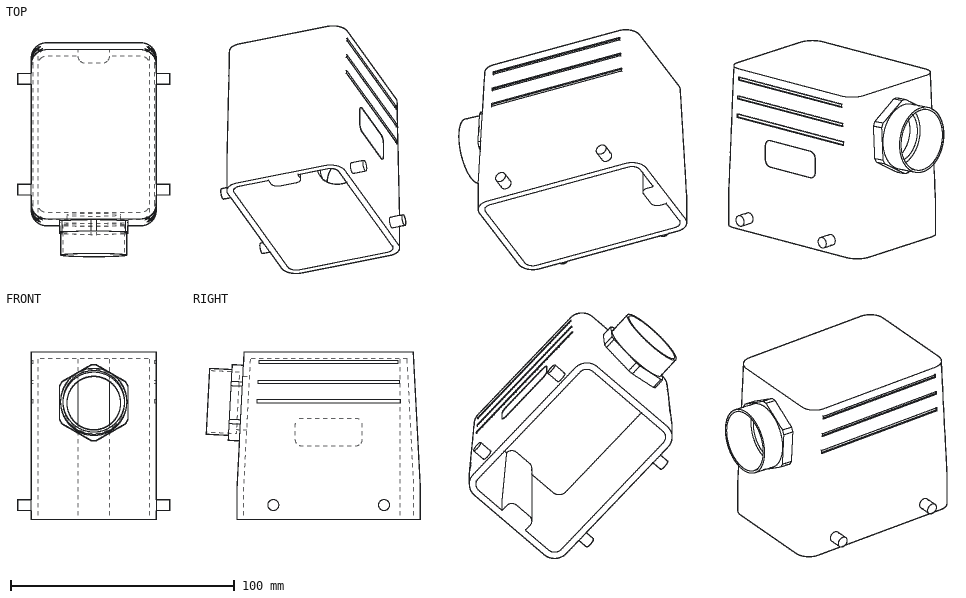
import cadquery as cq
import math

body_width = 56.0
body_length = 82.0
body_height = 75.0
skirt_height = 15.0
taper_angle = 3.0
corner_radius = 7.0
end_slope = math.tan(math.radians(taper_angle))

wall = 3.0
cavity_corner_radius = corner_radius - wall

pillar_width = 14.0
pillar_edge_radius = 3.1
pillar_projection = 3.2

pin_diameter = 4.9
pin_span = 68.0
pin_spacing = 49.5
pin_height = 6.5

groove_bands = [(52.1, 53.7), (60.8, 62.2), (69.7, 71.1)]
groove_depth = 0.8

label_length = 30.0
label_height = 12.4
label_center_height = 39.1
label_corner_radius = 3.0
label_depth = 0.2

entry_height = 52.1
hex_across_flats = 30.5
hex_corner_diameter = 34.0
hex_thickness = 5.0
collar_diameter = 29.6
collar_length = 10.0
fitting_length = hex_thickness + collar_length
collar_bore = 27.54
collar_bore_depth = 13.5
entry_bore = 24.0
entry_overrun = 1.5
entry_depth = fitting_length + wall + entry_overrun
hex_embed = 1.0


def half_length_at(height):
    """Distance from the middle plane to the outer end face at a height."""
    return body_length / 2 - max(0.0, height - skirt_height) * end_slope


def rounded_outline(width, length, radius):
    return cq.Sketch().rect(width, length).vertices().fillet(radius)


def hood_shape(inset, top, radius):
    """Skirt and tapered upper part, set in from the outer surface."""
    width = body_width - 2 * inset
    skirt_length = body_length - 2 * inset
    top_length = 2 * (half_length_at(top) - inset)
    base_outline = rounded_outline(width, skirt_length, radius)
    top_outline = rounded_outline(width, top_length, radius)
    rise = cq.Location(cq.Vector(0, 0, top - skirt_height))
    skirt = cq.Workplane("XY").placeSketch(base_outline).extrude(skirt_height)
    upper = (
        cq.Workplane("XY")
        .workplane(offset=skirt_height)
        .placeSketch(base_outline, top_outline.moved(rise))
        .loft(ruled=True)
    )
    return skirt.union(upper)


def pillar(cavity):
    """Pillar with rounded front edges, trimmed to the cavity it stands in."""
    cavity_top = body_height - wall
    front = half_length_at(cavity_top) - wall - pillar_projection
    depth = body_length / 2 - front
    block = (
        cq.Workplane("XY")
        .box(pillar_width, depth, cavity_top, centered=(True, False, False))
        .edges("|Z and <Y")
        .fillet(pillar_edge_radius)
        .translate((0, front, 0))
    )
    return block.intersect(cavity)


def pins():
    """Outward pin stubs, each rooted inside the side wall."""
    stub_length = (pin_span - body_width) / 2 + wall / 2
    stubs = cq.Workplane("XY")
    for side in (-1, 1):
        stub = (
            cq.Workplane("YZ")
            .workplane(offset=side * pin_span / 2)
            .pushPoints([(-pin_spacing / 2, pin_height), (pin_spacing / 2, pin_height)])
            .circle(pin_diameter / 2)
            .extrude(-side * stub_length)
        )
        stubs = stubs.add(stub)
    return stubs


def grip_grooves():
    """Groove cutters that stop where the rounded corners begin."""
    grooves = cq.Workplane("XY")
    for bottom, top in groove_bands:
        middle = (bottom + top) / 2
        length = 2 * (half_length_at(middle) - corner_radius)
        for side in (-1, 1):
            groove = cq.Workplane("XY").box(2 * groove_depth, length, top - bottom)
            grooves = grooves.add(groove.translate((side * body_width / 2, 0, middle)))
    return grooves


def label_recess():
    return (
        cq.Workplane("YZ")
        .workplane(offset=-body_width / 2)
        .center(0, label_center_height)
        .placeSketch(rounded_outline(label_length, label_height, label_corner_radius))
        .extrude(label_depth)
    )


def entry_plane(distance):
    """Plane square to the entry axis, a distance outside the end face."""
    angle = math.radians(taper_angle)
    outward = cq.Vector(0, -math.cos(angle), math.sin(angle))
    face_point = cq.Vector(0, -half_length_at(entry_height), entry_height)
    return cq.Plane(origin=face_point + outward * distance, xDir=(1, 0, 0), normal=outward)


def entry_disc(diameter, start, length):
    return cq.Workplane(entry_plane(start)).circle(diameter / 2).extrude(length)


def entry_fitting():
    """Hexagon with turned-down corners, carrying a round collar."""
    hex_length = hex_thickness + hex_embed
    hexagon = (
        cq.Workplane(entry_plane(-hex_embed))
        .polygon(6, hex_across_flats, circumscribed=True)
        .extrude(hex_length)
        .intersect(entry_disc(hex_corner_diameter, -hex_embed, hex_length))
    )
    return hexagon.union(entry_disc(collar_diameter, 0, fitting_length))


cavity = hood_shape(wall, body_height - wall, cavity_corner_radius)
hood = hood_shape(0, body_height, corner_radius).cut(cavity)
hood = hood.union(pillar(cavity))
hood = hood.union(pins())
hood = hood.cut(grip_grooves())
hood = hood.cut(label_recess())
hood = hood.union(entry_fitting())
hood = hood.cut(entry_disc(collar_bore, fitting_length - collar_bore_depth, collar_bore_depth))
result = hood.cut(entry_disc(entry_bore, fitting_length - entry_depth, entry_depth))